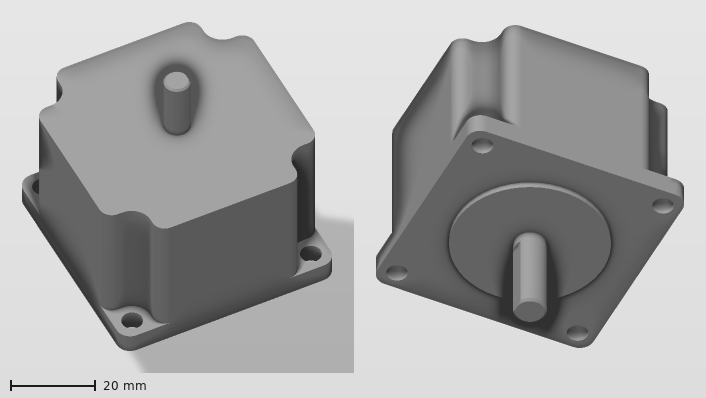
import cadquery as cq

total_length = 79.0
width = 56.4

rear_shaft_length = 15.95
front_shaft_length = 22.4
pilot_height = 1.6
flange_thickness = 5.2

flange_corner_radius = 3.55
hole_spacing = 47.2
hole_diameter = 5.1
pilot_diameter = 38.2

relief_depth = 9.3
relief_radius = 5.0
relief_edge_radius = 3.15

rear_shaft_diameter = 6.4
rear_chamfer = 0.5
rear_flat_depth = 0.55
rear_flat_start = 1.0
front_shaft_diameter = 8.0
front_chamfer = 0.55
front_flat_depth = 0.55
front_flat_start = 2.4

pilot_bottom = front_shaft_length
flange_bottom = pilot_bottom + pilot_height
flange_top = flange_bottom + flange_thickness
body_top = total_length - rear_shaft_length


def make_flange():
    """Square mounting flange with rounded corners and four through holes."""
    return (
        cq.Workplane("XY", origin=(0, 0, flange_bottom))
        .rect(width, width)
        .extrude(flange_thickness)
        .edges("|Z")
        .fillet(flange_corner_radius)
        .faces(">Z")
        .workplane()
        .rect(hole_spacing, hole_spacing, forConstruction=True)
        .vertices()
        .hole(hole_diameter)
    )


def make_body():
    """Square body with a rounded relief at each corner for the screw heads."""
    height = body_top - flange_top
    body = cq.Workplane("XY", origin=(0, 0, flange_top)).rect(width, width).extrude(height)
    relief_centers = cq.Workplane("XY", origin=(0, 0, flange_top)).rect(width, width, forConstruction=True)
    reliefs = (
        relief_centers.vertices()
        .rect(2 * relief_depth, 2 * relief_depth)
        .extrude(height)
        .edges("|Z")
        .fillet(relief_radius)
    )
    body = body.cut(reliefs)
    for axis in ("X", "Y"):
        side_edges = body.faces(f"<{axis} or >{axis}").edges("|Z")
        body = side_edges.fillet(relief_edge_radius)
    return body


def make_shaft(diameter, start, length, chamfer, flat_start, flat_depth):
    """Shaft along +Z from start, chamfered at its tip, with a flat on the +Y side."""
    shaft = (
        cq.Workplane("XY", origin=(0, 0, start))
        .circle(diameter / 2)
        .extrude(length)
        .faces(">Z")
        .chamfer(chamfer)
    )
    flat_cutter = (
        cq.Workplane("XY", origin=(0, diameter / 2 - flat_depth, start + flat_start))
        .box(diameter, diameter, length - flat_start, centered=(True, False, False))
    )
    return shaft.cut(flat_cutter)


pilot = cq.Workplane("XY", origin=(0, 0, pilot_bottom)).circle(pilot_diameter / 2).extrude(pilot_height)

rear_shaft = make_shaft(
    rear_shaft_diameter, body_top, rear_shaft_length, rear_chamfer, rear_flat_start, rear_flat_depth
)
front_shaft = make_shaft(
    front_shaft_diameter, 0, front_shaft_length, front_chamfer, front_flat_start, front_flat_depth
).mirror("XY").translate((0, 0, pilot_bottom))

result = make_flange().union(make_body()).union(pilot).union(rear_shaft).union(front_shaft)